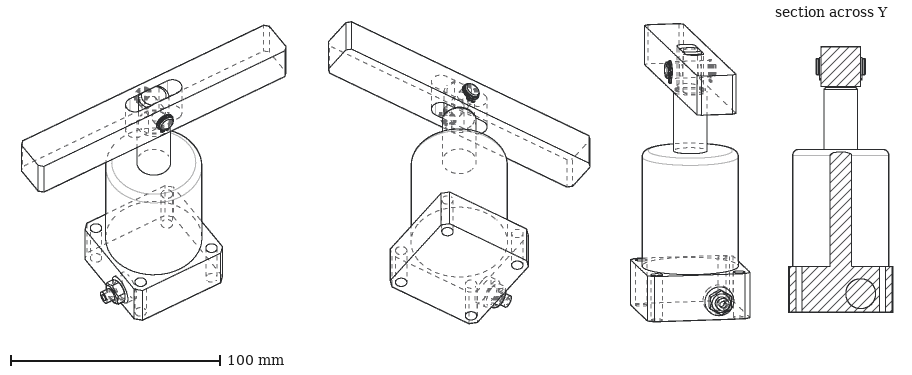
import cadquery as cq
import math


BASE_SIDE = 50.0
BASE_HEIGHT = 22.0
BASE_CORNER_CHAMFER = 3.0
MOUNT_HOLE_PITCH = 40.0
MOUNT_HOLE_DIA = 5.5
BARREL_DIA = 46.0
BARREL_TOP = 78.0
BARREL_FILLET = 3.0

LEVER_LENGTH = 140.0
LEVER_SIDE = 19.0
LEVER_TOP = 127.0
LEVER_CHAMFER = 2.0
SLOT_LENGTH = 30.1
SLOT_WIDTH = 9.0
LEVER_BOTTOM = LEVER_TOP - LEVER_SIDE
PIN_Z = LEVER_TOP - LEVER_SIDE / 2

ROD_DIA = 16.2
ROD_CHAMFER = 0.8
NECK_HEIGHT = 0.5
SHOULDER_Z = LEVER_BOTTOM - NECK_HEIGHT
TONGUE_DIA = ROD_DIA - 2 * ROD_CHAMFER
TONGUE_TOP = LEVER_TOP
TONGUE_CHAMFER_WIDTH = 1.4
TONGUE_CHAMFER_HEIGHT = 1.0

PIN_DIA = 8.0
PIN_LENGTH = 23.8
PIN_CHAMFER = 0.5

CLIP_OUTER_DIA = 9.0
CLIP_INNER_DIA = 7.3
CLIP_THICKNESS = 0.7
GROOVE_WIDTH = 1.1
LUG_WIDTH = 4.3
LUG_DROP = 6.3
LUG_CHAMFER = 0.7
WIDE_GAP = 2.5
WIDE_GAP_DROP = 5.3
NARROW_GAP = 1.0

FITTING_X = 9.5
FITTING_Z = 9.0
SHANK_DIA = 14.0
SHANK_DEPTH = 5.0
HEX_CORNER_DIA = 11.8
HEX_HEIGHT = 5.0
HEX_BEVEL = 1.4
BEVEL_ANGLE = 30
STUB_DIA = 6.0
STUB_END = 9.2
BORE_DIA = 3.1
BORE_DEPTH = STUB_END - HEX_HEIGHT


def fitting_plane(distance):
    """Plane facing -Y, offset outward from the base's -Y face."""
    origin = (FITTING_X, -BASE_SIDE / 2 - distance, FITTING_Z)
    return cq.Workplane(cq.Plane(origin=origin, xDir=(1, 0, 0), normal=(0, -1, 0)))


def x_cylinder(diameter, x_start, length):
    """Cylinder on the pin axis."""
    plane = cq.Plane(origin=(x_start, 0, PIN_Z), xDir=(0, 1, 0), normal=(1, 0, 0))
    return cq.Workplane(plane).circle(diameter / 2).extrude(length)


def make_housing():
    base = cq.Workplane("XY").rect(BASE_SIDE, BASE_SIDE).extrude(BASE_HEIGHT)
    base = base.edges("|Z").chamfer(BASE_CORNER_CHAMFER)
    barrel = cq.Workplane("XY").circle(BARREL_DIA / 2).extrude(BARREL_TOP)
    barrel = barrel.faces(">Z").edges().fillet(BARREL_FILLET)
    mount_holes = (
        cq.Workplane("XY")
        .rect(MOUNT_HOLE_PITCH, MOUNT_HOLE_PITCH, forConstruction=True)
        .vertices()
        .circle(MOUNT_HOLE_DIA / 2)
        .extrude(BASE_HEIGHT)
    )
    port = fitting_plane(0).circle(SHANK_DIA / 2).extrude(-SHANK_DEPTH)
    return base.cut(mount_holes).union(barrel).cut(port)


def make_rod():
    """Round rod and neck on the barrel's top face, with a flat-sided tongue in the lever slot."""
    shaft = cq.Workplane("XY").workplane(offset=BARREL_TOP).circle(ROD_DIA / 2)
    shaft = shaft.extrude(SHOULDER_Z - BARREL_TOP).faces(">Z").edges().chamfer(ROD_CHAMFER)
    neck = cq.Workplane("XY").workplane(offset=SHOULDER_Z).circle(TONGUE_DIA / 2).extrude(NECK_HEIGHT)
    tongue = cq.Workplane("XY").workplane(offset=LEVER_BOTTOM).circle(TONGUE_DIA / 2)
    tongue = tongue.extrude(TONGUE_TOP - LEVER_BOTTOM)
    tongue = tongue.faces(">Z").chamfer(TONGUE_CHAMFER_HEIGHT, TONGUE_CHAMFER_WIDTH)
    flats = cq.Workplane("XY").box(SLOT_WIDTH, TONGUE_DIA, 2 * TONGUE_TOP)
    pin_hole = x_cylinder(PIN_DIA, -LEVER_SIDE / 2, LEVER_SIDE)
    return shaft.union(neck).union(tongue.intersect(flats)).cut(pin_hole)


def make_lever():
    bar = cq.Workplane("XY").workplane(offset=LEVER_BOTTOM).rect(LEVER_SIDE, LEVER_LENGTH)
    bar = bar.extrude(LEVER_SIDE).edges("|Z").chamfer(LEVER_CHAMFER)
    slot = cq.Workplane("XY").workplane(offset=LEVER_BOTTOM).slot2D(SLOT_LENGTH, SLOT_WIDTH, 90)
    pin_hole = x_cylinder(PIN_DIA, -LEVER_SIDE / 2, LEVER_SIDE)
    return bar.cut(slot.extrude(LEVER_SIDE)).cut(pin_hole)


def lowest_x(side, width):
    """Lowest X of something of the given width that lies against one lever side (-1 or 1)."""
    middle = side * (LEVER_SIDE + width) / 2
    return middle - width / 2


def make_pin():
    pin = x_cylinder(PIN_DIA, -PIN_LENGTH / 2, PIN_LENGTH)
    pin = pin.faces("<X or >X").edges().chamfer(PIN_CHAMFER)
    for side in (-1, 1):
        groove = x_cylinder(PIN_DIA, lowest_x(side, GROOVE_WIDTH), GROOVE_WIDTH)
        core = x_cylinder(CLIP_INNER_DIA, lowest_x(side, GROOVE_WIDTH), GROOVE_WIDTH)
        pin = pin.cut(groove.cut(core))
    return pin


def hanging_block(x_start, width, drop):
    """Block of clip thickness that reaches from the pin axis down by the given drop."""
    corner = (x_start, -width / 2, PIN_Z - drop)
    return cq.Workplane("XY").box(CLIP_THICKNESS, width, drop, centered=False).translate(corner)


def make_clip(side):
    """Snap ring with two hooked lugs below the pin."""
    start = lowest_x(side, CLIP_THICKNESS)
    ring = x_cylinder(CLIP_OUTER_DIA, start, CLIP_THICKNESS)
    lugs = hanging_block(start, LUG_WIDTH, LUG_DROP)
    lugs = lugs.faces("<Z").edges("|X").chamfer(LUG_CHAMFER)
    clip = ring.union(lugs)
    clip = clip.cut(x_cylinder(CLIP_INNER_DIA, start, CLIP_THICKNESS))
    clip = clip.cut(hanging_block(start, WIDE_GAP, WIDE_GAP_DROP))
    return clip.cut(hanging_block(start, NARROW_GAP, LUG_DROP))


def make_fitting():
    """Shank sunk flush into the base, bevelled hexagon with corners up and down, and a bored stub."""
    shank = fitting_plane(-SHANK_DEPTH).circle(SHANK_DIA / 2).extrude(SHANK_DEPTH)
    hexagon = fitting_plane(0).transformed(rotate=(0, 0, 90)).polygon(6, HEX_CORNER_DIA)
    hexagon = hexagon.extrude(HEX_HEIGHT)
    slope = math.tan(math.radians(BEVEL_ANGLE))
    bevels = fitting_plane(0).circle(HEX_CORNER_DIA / 2).extrude(HEX_HEIGHT)
    bevels = bevels.faces("<Y or >Y").chamfer(HEX_BEVEL * slope, HEX_BEVEL)
    stub = fitting_plane(0).circle(STUB_DIA / 2).extrude(STUB_END)
    bore = fitting_plane(STUB_END).circle(BORE_DIA / 2).extrude(-BORE_DEPTH)
    return shank.union(hexagon.intersect(bevels)).union(stub).cut(bore)


housing = make_housing()
rod = make_rod()
lever = make_lever()
pin = make_pin()
clips = [make_clip(side) for side in (-1, 1)]
fitting = make_fitting()

bodies = [housing, rod, lever, pin, *clips, fitting]
result = cq.Compound.makeCompound([body.solids().val() for body in bodies])